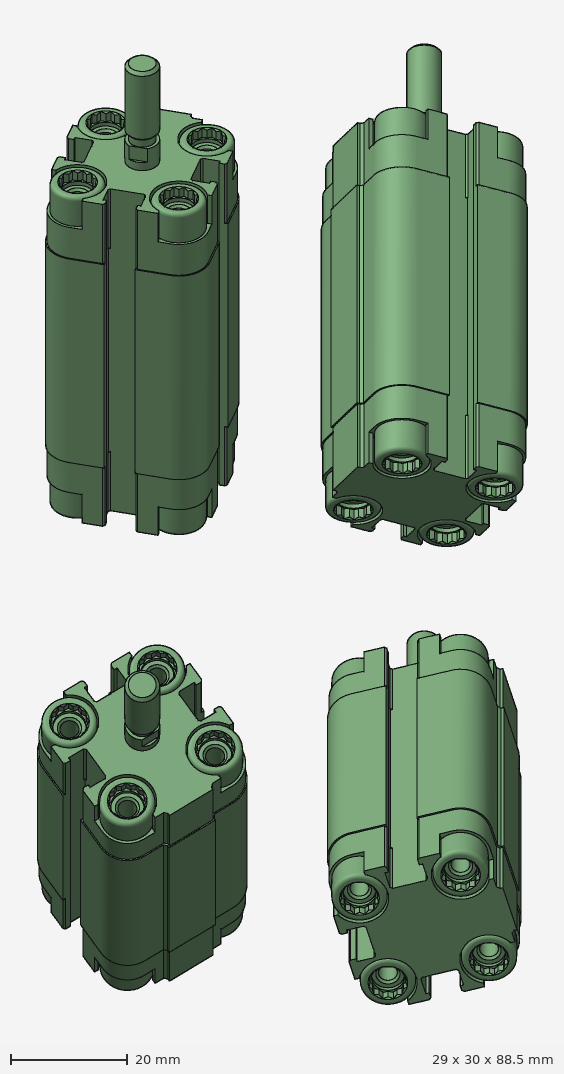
import cadquery as cq
import math

BODY_LENGTH = 68.0
CAP_LENGTH = 12.5
ROD_SHOULDER_Z = 72.5
ROD_TOP_Z = 88.5

BARREL_HALF = 14.5
BARREL_CORNER_RADIUS = 5.5
CAP_SETBACK = 0.25

RIB_TOP_Y = 15.5
RIB_HALF_WIDTH = 4.75
RIB_FOOT = 0.5

SLOT_MOUTH_HALF = 2.75
SLOT_INNER_HALF = 3.35
CAP_SLOT_CHAMFER = 0.35
SLOT_LIP_X = 12.9
SLOT_FLOOR = 9.5

BOSS_OFFSET = BARREL_HALF - BARREL_CORNER_RADIUS
BOSS_DIAMETER = 9.5
BOSS_GAP = 0.25
BOSS_EDGE_RADIUS = 0.75
BOSS_RELIEF_START = 6.75
BOSS_RELIEF_DEPTH = 6.0

BORE_DIAMETER = 3.24
BORE_MOUTH_DIAMETER = 4.13
COUNTERBORE_DIAMETER = 5.7
COUNTERBORE_DEPTH = 2.8
SOCKET_VALLEY_DIAMETER = 6.1
SOCKET_POINT_DIAMETER = 6.8
SOCKET_POINTS = 12
SOCKET_DEPTH = 2.0

ROD_DIAMETER = 6.0
ROD_NECK_DIAMETER = 4.77
ROD_NECK_TOP_Z = 74.0
ROD_CHAMFER_HEIGHT = 0.6
ROD_FLAT_WIDTH = 5.0
ROD_FLAT_LENGTH = 2.8


def slot_cutter(corner_chamfer, z_start, length):
    """T-slot opening toward +X; a chamfer flares its mouth and cuts off its floor corners."""
    outside = 2 * BARREL_HALF
    plane = cq.Workplane("XY", origin=(0, 0, z_start))
    mouth = (
        plane.center(SLOT_LIP_X, 0)
        .rect(outside - SLOT_LIP_X, 2 * SLOT_MOUTH_HALF, centered=(False, True))
        .extrude(length)
    )
    channel = (
        plane.center(SLOT_FLOOR, 0)
        .rect(SLOT_LIP_X - SLOT_FLOOR, 2 * SLOT_INNER_HALF, centered=(False, True))
        .extrude(length)
    )
    if corner_chamfer > 0:
        channel = channel.edges("|Z and <X").chamfer(corner_chamfer)
        face_x = BARREL_HALF - CAP_SETBACK
        root_x = face_x - corner_chamfer
        flare_half = SLOT_MOUTH_HALF + corner_chamfer
        flare_outline = [
            (root_x, -SLOT_MOUTH_HALF),
            (face_x, -flare_half),
            (face_x, flare_half),
            (root_x, SLOT_MOUTH_HALF),
        ]
        mouth = mouth.union(plane.polyline(flare_outline).close().extrude(length))
    return mouth.union(channel)


def profile_section(setback, slot_chamfer, z_start, length):
    """Length of the slotted profile, set back from the barrel outline."""
    side = 2 * (BARREL_HALF - setback)
    section = (
        cq.Workplane("XY", origin=(0, 0, z_start))
        .rect(side, side)
        .extrude(length)
        .edges("|Z")
        .fillet(BARREL_CORNER_RADIUS - setback)
    )
    shoulder_y = BARREL_HALF - setback
    rib_half = RIB_HALF_WIDTH - setback
    rib_outline = [
        (-rib_half - RIB_FOOT, 0),
        (-rib_half - RIB_FOOT, shoulder_y),
        (-rib_half, shoulder_y + RIB_FOOT),
        (-rib_half, RIB_TOP_Y - setback),
        (rib_half, RIB_TOP_Y - setback),
        (rib_half, shoulder_y + RIB_FOOT),
        (rib_half + RIB_FOOT, shoulder_y),
        (rib_half + RIB_FOOT, 0),
    ]
    rib = cq.Workplane("XY", origin=(0, 0, z_start)).polyline(rib_outline).close().extrude(length)
    section = section.union(rib)
    for angle in (0, 180, 270):
        slot = slot_cutter(slot_chamfer, z_start, length)
        section = section.cut(slot.rotate((0, 0, 0), (0, 0, 1), angle))
    return section


def boss_relief():
    """Material removed around the top end of the boss in the +X +Y corner."""
    boss_radius = BOSS_DIAMETER / 2
    base = cq.Workplane("XY", origin=(0, 0, BODY_LENGTH - BOSS_RELIEF_DEPTH))
    corner = (
        base.center(BOSS_RELIEF_START, BOSS_RELIEF_START)
        .rect(BARREL_HALF, BARREL_HALF, centered=False)
        .extrude(BOSS_RELIEF_DEPTH)
    )
    boss_base = base.center(BOSS_OFFSET, BOSS_OFFSET)
    clearance = boss_base.circle(boss_radius + BOSS_GAP).extrude(BOSS_RELIEF_DEPTH)
    boss = boss_base.circle(boss_radius).extrude(BOSS_RELIEF_DEPTH)
    rounded_boss = boss.faces(">Z").edges().fillet(BOSS_EDGE_RADIUS)
    return corner.union(clearance).cut(rounded_boss)


def countersink(top_diameter, bottom_diameter, top_z):
    """45 degree cone on the Z axis, narrowing downward."""
    height = (top_diameter - bottom_diameter) / 2
    base = cq.Vector(0, 0, top_z - height)
    return cq.Workplane(cq.Solid.makeCone(bottom_diameter / 2, top_diameter / 2, height, base))


def socket_cutter():
    """Flared twelve-point socket, counterbore and chamfered bore mouth in the top of the +X +Y boss."""
    outline = []
    for corner in range(2 * SOCKET_POINTS):
        angle = math.pi * corner / SOCKET_POINTS
        diameter = SOCKET_POINT_DIAMETER if corner % 2 == 0 else SOCKET_VALLEY_DIAMETER
        outline.append((diameter / 2 * math.cos(angle), diameter / 2 * math.sin(angle)))
    top = cq.Workplane("XY", origin=(0, 0, BODY_LENGTH))
    star = top.polyline(outline).close().extrude(-SOCKET_DEPTH)
    counterbore = top.circle(COUNTERBORE_DIAMETER / 2).extrude(-COUNTERBORE_DEPTH)
    mouth = countersink(BORE_MOUTH_DIAMETER, BORE_DIAMETER, BODY_LENGTH - COUNTERBORE_DEPTH)
    flare = countersink(SOCKET_POINT_DIAMETER, SOCKET_VALLEY_DIAMETER, BODY_LENGTH)
    socket = star.union(counterbore).union(mouth).union(flare)
    return socket.translate((BOSS_OFFSET, BOSS_OFFSET, 0))


def make_housing():
    """Barrel with two end caps, corner bosses and screw passages."""
    barrel_length = BODY_LENGTH - 2 * CAP_LENGTH
    housing = profile_section(0, 0, CAP_LENGTH, barrel_length)
    for cap_z in (0, BODY_LENGTH - CAP_LENGTH):
        housing = housing.union(profile_section(CAP_SETBACK, CAP_SLOT_CHAMFER, cap_z, CAP_LENGTH))
    corner_cutters = (boss_relief(), socket_cutter())
    for angle in (0, 90, 180, 270):
        for cutter in corner_cutters:
            top_cutter = cutter.rotate((0, 0, 0), (0, 0, 1), angle)
            bottom_cutter = top_cutter.mirror("XY", (0, 0, BODY_LENGTH / 2))
            housing = housing.cut(top_cutter).cut(bottom_cutter)
    bores = (
        cq.Workplane("XY")
        .rect(2 * BOSS_OFFSET, 2 * BOSS_OFFSET, forConstruction=True)
        .vertices()
        .circle(BORE_DIAMETER / 2)
        .extrude(BODY_LENGTH)
    )
    return housing.cut(bores)


def make_piston_rod():
    """Rod standing on the top cap: shank with two flats, neck and stud."""
    rod_radius = ROD_DIAMETER / 2
    neck_radius = ROD_NECK_DIAMETER / 2
    half_section = [
        (0, BODY_LENGTH),
        (rod_radius, BODY_LENGTH),
        (rod_radius, ROD_SHOULDER_Z),
        (neck_radius, ROD_SHOULDER_Z),
        (neck_radius, ROD_NECK_TOP_Z),
        (rod_radius, ROD_NECK_TOP_Z + ROD_CHAMFER_HEIGHT),
        (rod_radius, ROD_TOP_Z - ROD_CHAMFER_HEIGHT),
        (neck_radius, ROD_TOP_Z),
        (0, ROD_TOP_Z),
    ]
    rod = cq.Workplane("XZ").polyline(half_section).close().revolve(360, (0, 0, 0), (0, 1, 0))
    for side in (-1, 1):
        flat = cq.Workplane("XY").box(
            ROD_DIAMETER, ROD_DIAMETER, ROD_FLAT_LENGTH, centered=(True, True, False)
        )
        flat_center_y = side * (ROD_FLAT_WIDTH + ROD_DIAMETER) / 2
        rod = rod.cut(flat.translate((0, flat_center_y, ROD_SHOULDER_Z - ROD_FLAT_LENGTH)))
    return rod


housing = make_housing()
piston_rod = make_piston_rod()
result = cq.Compound.makeCompound([housing.val(), piston_rod.val()])